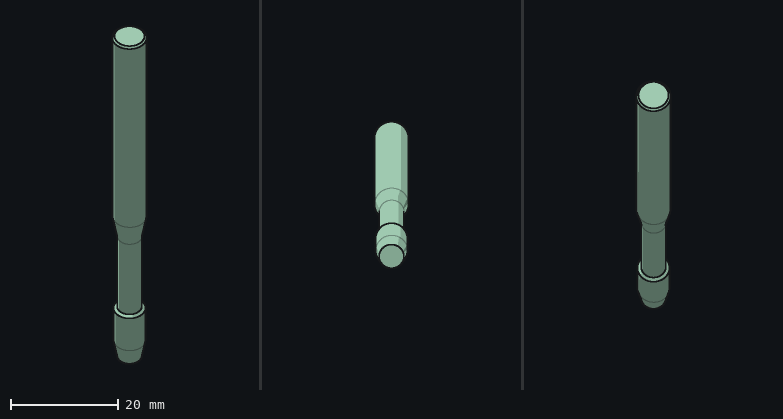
import cadquery as cq

total_length = 80.0
tip_taper_length = 4.0
head_length = 12.0
neck_bottom = 12.4
neck_top = 30.0
shank_bottom = 35.0

shank_diameter = 6.4
neck_diameter = 4.6
head_diameter = 6.0
tip_diameter = 4.6

shank_chamfer = 0.4


def turned_body(profile):
    """Revolve (radius, height) points, closed along the Z axis, into a solid."""
    bottom = profile[0][1]
    top = profile[-1][1]
    outline = [(0, bottom)] + profile + [(0, top)]
    return cq.Workplane("XZ").polyline(outline).close().revolve(360, (0, 0), (0, 1))


def make_shank():
    """Shank tapering down to a slim neck, which flares out to meet the head."""
    shank_radius = shank_diameter / 2
    neck_radius = neck_diameter / 2
    return turned_body([
        (head_diameter / 2, head_length),
        (neck_radius, neck_bottom),
        (neck_radius, neck_top),
        (shank_radius, shank_bottom),
        (shank_radius, total_length - shank_chamfer),
        (shank_radius - shank_chamfer, total_length),
    ])


def make_head():
    """Working head with a tapered tip and a flat seat for the shank."""
    head_radius = head_diameter / 2
    return turned_body([
        (tip_diameter / 2, 0),
        (head_radius, tip_taper_length),
        (head_radius, head_length),
    ])


shank = make_shank()
head = make_head()
result = cq.Compound.makeCompound([shank.val(), head.val()])